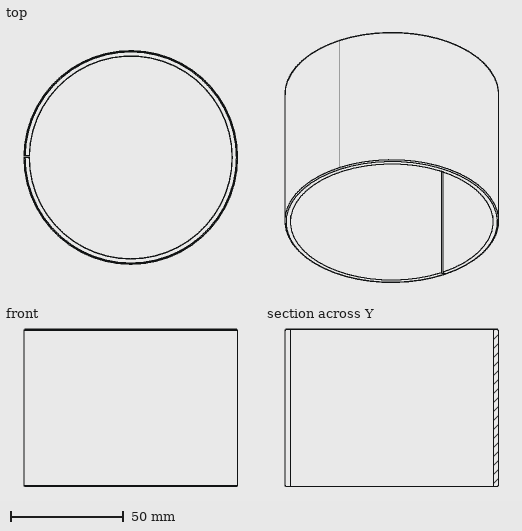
import cadquery as cq

outer_diameter = 95.0
wall = 2.5
height = 70.0
edge_chamfer = 0.6
split_gap = 0.8

outer_radius = outer_diameter / 2
inner_radius = outer_radius - wall

sleeve = (
    cq.Workplane("XY")
    .circle(outer_radius)
    .extrude(height)
    .faces("<Z or >Z")
    .chamfer(edge_chamfer)
    .cut(cq.Workplane("XY").circle(inner_radius).extrude(height))
)

split = cq.Workplane("XY").box(
    outer_radius, split_gap, height, centered=False
).translate((-outer_radius, 0, 0))

result = sleeve.cut(split)